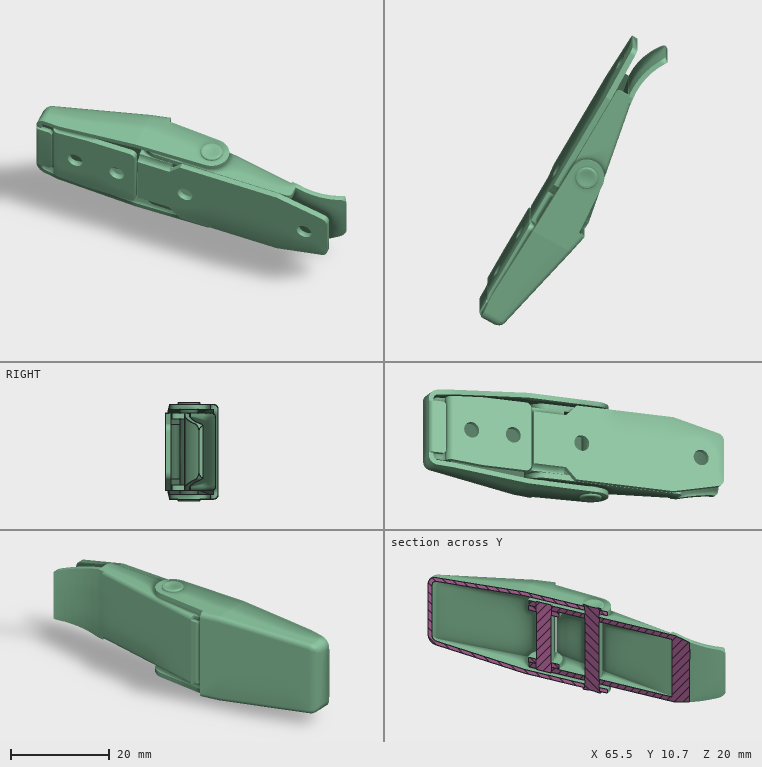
import cadquery as cq
import math


OVERALL_LENGTH = 65.49
OVERALL_HEIGHT = 10.72
OVERALL_WIDTH = 20.0

PLATE_THICKNESS = 1.2
SCREW_HOLE_DIAMETER = 3.25

BASE_START = 22.5
BASE_END = 64.0
BASE_HALF_WIDTH = 7.85
BASE_TAPER_START = 53.0
BASE_TAPER_ANGLE = 13.0
BASE_CORNER_RADIUS = 1.5
BASE_HOLES_X = (32.95, 59.0)
EAR_LENGTH = 7.0
EAR_BEND_RADIUS = PLATE_THICKNESS
EAR_OUTER_Z = 6.7
EAR_INNER_Z = EAR_OUTER_Z - PLATE_THICKNESS

LEVER_CLEARANCE = 0.1
LEVER_THICKNESS = 1.0
LEVER_HALF_WIDTH = BASE_HALF_WIDTH
LEVER_INNER_Z = EAR_OUTER_Z
LEVER_BEND_RADIUS = 0.85
LEVER_NOSE_RADIUS = EAR_LENGTH / 2
LEVER_BOTTOM = PLATE_THICKNESS + LEVER_CLEARANCE
TONGUE_START = 26.5
TONGUE_LENGTH = 1.75
TONGUE_TIP_RADIUS = 0.6
ROOF_START = TONGUE_START + TONGUE_LENGTH
ROOF_START_HEIGHT = 10.17
ROOF_SLOPE = 10.9
ROOF_END = 54.3
CHEEK_END = 55.5
CHEEK_CORNER_RADIUS = 0.9
TAIL_END_ANGLE = 37.0
TAIL_TAPER_ANGLE = 14.0
TAIL_CORNER_RADIUS = 1.6

PIVOT_X = BASE_START + EAR_LENGTH / 2
PIVOT_Y = LEVER_BOTTOM + LEVER_NOSE_RADIUS
PIVOT_PIN_LENGTH = 16.1
PIN_RADIUS = 1.83
BAIL_PIN_X = 36.8
BAIL_PIN_Y = PIVOT_Y
PIN_HEAD_RADIUS = 2.25
PIN_HEAD_EDGE_RADIUS = 0.3
PIN_DIMPLE_RADIUS = 1.65
PIN_DIMPLE_DEPTH = 0.2

BAIL_THICKNESS = 1.0
BAIL_HALF_WIDTH = 9.6
BAIL_FRONT_BEND_RADIUS = 2.0
BAIL_SIDE_BEND_RADIUS = 1.0
BAIL_FLARE_END = 21.7
BAIL_FLARE_ANGLE = 4.74
BAIL_ROOF_SLOPE = 11.5
BAIL_ROOF_END = 25.5
BAIL_SHOULDER = (25.9, 9.2)
BAIL_EYE_RADIUS = 3.6
BAIL_FRONT_BOTTOM = 1.12
BAIL_LOW_POINT = (5.0, 0.55)
LIP_BOTTOM = 0.5
LIP_LENGTH = 3.55
LIP_HALF_WIDTH = 5.45
LIP_BEND_RADIUS = 0.85
LIP_CORNER = 0.5

CATCH_END = 21.95
CATCH_HALF_WIDTH = 7.2
CATCH_TAPER_END = 11.4
CATCH_TAPER_ANGLE = 4.1
CATCH_CORNER_RADIUS = 1.2
CATCH_RISER_X = 3.75
CATCH_BEND_RADIUS = 1.25
CATCH_TONGUE_TIP = 1.2
CATCH_TONGUE_BOTTOM = 1.75
CATCH_TONGUE_CORNER = 0.8
CATCH_HOLES_X = (8.9, 18.0)

FAR = 100.0


def tan_deg(angle):
    return math.tan(math.radians(angle))


def sin_deg(angle):
    return math.sin(math.radians(angle))


def cos_deg(angle):
    return math.cos(math.radians(angle))


def extrude_across(profile, half_width):
    """Extrude a closed XY profile symmetrically in Z."""
    return profile.extrude(half_width, both=True)


def plan_prism(half_outline):
    """Upright prism over an XZ outline, mirrored from the (x, z) points of its +Z half."""
    mirrored = [(x, -z) for x, z in reversed(half_outline)]
    outline = [(x, -z) for x, z in half_outline + mirrored]
    return cq.Workplane("XZ").polyline(outline).close().extrude(-OVERALL_HEIGHT)


def cross_cylinder(x, y, radius, half_length):
    """Cylinder along Z, centred on the symmetry plane."""
    return cq.Workplane("XY").center(x, y).circle(radius).extrude(half_length, both=True)


def box_between(x_range, y_range, z_range):
    sizes = [high - low for low, high in (x_range, y_range, z_range)]
    corner = cq.Vector(x_range[0], y_range[0], z_range[0])
    return cq.Workplane(cq.Solid.makeBox(*sizes, corner))


def screw_holes(x_places):
    return (
        cq.Workplane("XZ")
        .pushPoints([(x, 0) for x in x_places])
        .circle(SCREW_HOLE_DIAMETER / 2)
        .extrude(-PLATE_THICKNESS)
    )


def make_catch():
    """Screwed plate that steps up into a tongue for the bail lip to hook under."""
    tongue_top = CATCH_TONGUE_BOTTOM + PLATE_THICKNESS
    riser_back = CATCH_RISER_X + PLATE_THICKNESS
    profile = (
        cq.Workplane("XY")
        .moveTo(CATCH_END, 0)
        .lineTo(CATCH_RISER_X + CATCH_BEND_RADIUS, 0)
        .radiusArc((CATCH_RISER_X, CATCH_BEND_RADIUS), CATCH_BEND_RADIUS)
        .lineTo(CATCH_RISER_X, CATCH_TONGUE_BOTTOM)
        .lineTo(CATCH_TONGUE_TIP, CATCH_TONGUE_BOTTOM)
        .lineTo(CATCH_TONGUE_TIP, tongue_top)
        .lineTo(riser_back - CATCH_BEND_RADIUS, tongue_top)
        .radiusArc((riser_back, tongue_top - CATCH_BEND_RADIUS), CATCH_BEND_RADIUS)
        .lineTo(riser_back, PLATE_THICKNESS)
        .lineTo(CATCH_END, PLATE_THICKNESS)
        .close()
    )
    tip_half_width = CATCH_HALF_WIDTH - (CATCH_TAPER_END - CATCH_TONGUE_TIP) * tan_deg(CATCH_TAPER_ANGLE)
    plan = plan_prism([
        (CATCH_TONGUE_TIP, tip_half_width),
        (CATCH_TAPER_END, CATCH_HALF_WIDTH),
        (CATCH_END, CATCH_HALF_WIDTH),
    ])
    plan = plan.edges("|Y and >X").fillet(CATCH_CORNER_RADIUS)
    plan = plan.edges("|Y and <X").fillet(CATCH_TONGUE_CORNER)
    return extrude_across(profile, CATCH_HALF_WIDTH).intersect(plan).cut(screw_holes(CATCH_HOLES_X))


def make_ear():
    """Ear bent up from the plate on the +Z side."""
    bend = (
        cq.Workplane("YZ", origin=(BASE_START, 0, 0))
        .moveTo(0, EAR_INNER_Z)
        .radiusArc((EAR_BEND_RADIUS, EAR_OUTER_Z), -EAR_BEND_RADIUS)
        .lineTo(EAR_BEND_RADIUS, EAR_INNER_Z)
        .close()
        .extrude(EAR_LENGTH)
    )
    wall = (
        cq.Workplane("XY", origin=(0, 0, EAR_INNER_Z))
        .moveTo(BASE_START, EAR_BEND_RADIUS)
        .lineTo(BASE_START, PIVOT_Y)
        .threePointArc((PIVOT_X, PIVOT_Y + EAR_LENGTH / 2), (BASE_START + EAR_LENGTH, PIVOT_Y))
        .lineTo(BASE_START + EAR_LENGTH, EAR_BEND_RADIUS)
        .close()
        .extrude(PLATE_THICKNESS)
    )
    return bend.union(wall)


def make_base():
    """Screwed plate with two pivot ears and a tapered rear end."""
    ear_end = BASE_START + EAR_LENGTH
    notch_depth = BASE_HALF_WIDTH - EAR_INNER_Z
    end_half_width = BASE_HALF_WIDTH - (BASE_END - BASE_TAPER_START) * tan_deg(BASE_TAPER_ANGLE)
    plan = plan_prism([
        (BASE_START, EAR_INNER_Z),
        (ear_end, EAR_INNER_Z),
        (ear_end + notch_depth, BASE_HALF_WIDTH),
        (BASE_TAPER_START, BASE_HALF_WIDTH),
        (BASE_END, end_half_width),
    ])
    plan = plan.edges("|Y and >X").fillet(BASE_CORNER_RADIUS)
    slab = box_between(
        (BASE_START, BASE_END), (0, PLATE_THICKNESS), (-BASE_HALF_WIDTH, BASE_HALF_WIDTH)
    )
    ear = make_ear()
    plate = slab.intersect(plan).union(ear).union(ear.mirror("XY"))
    plate = plate.cut(screw_holes(BASE_HOLES_X))
    return plate.cut(cross_cylinder(PIVOT_X, PIVOT_Y, PIN_RADIUS, OVERALL_WIDTH))


def lever_roof_height(x):
    return ROOF_START_HEIGHT - (x - ROOF_START) * tan_deg(ROOF_SLOPE)


def make_lever_channel():
    """Roof and cheeks, with a flat tongue at the front and round noses about the pivot."""
    roof_profile = (
        cq.Workplane("XY")
        .moveTo(TONGUE_START, LEVER_BOTTOM)
        .lineTo(TONGUE_START, ROOF_START_HEIGHT)
        .lineTo(ROOF_START, ROOF_START_HEIGHT)
        .lineTo(ROOF_END, lever_roof_height(ROOF_END))
        .lineTo(CHEEK_END, lever_roof_height(CHEEK_END) - LEVER_THICKNESS / 2)
        .lineTo(CHEEK_END, LEVER_BOTTOM)
        .close()
    )
    channel = extrude_across(roof_profile, LEVER_HALF_WIDTH)
    roof_sides = cq.selectors.BoxSelector(
        (ROOF_START, LEVER_BOTTOM + LEVER_THICKNESS, -FAR), (ROOF_END, FAR, FAR)
    )
    channel = channel.edges(roof_sides).edges("not |Z").fillet(LEVER_BEND_RADIUS)
    channel = channel.edges("|Z and >X and <Y").fillet(CHEEK_CORNER_RADIUS)
    tongue_tip = cq.selectors.NearestToPointSelector((TONGUE_START, ROOF_START_HEIGHT, 0))
    channel = channel.edges(tongue_tip).fillet(TONGUE_TIP_RADIUS)
    tongue_bottom = ROOF_START_HEIGHT - LEVER_THICKNESS
    tongue_edge_z = LEVER_HALF_WIDTH - LEVER_BEND_RADIUS
    beside_tongue = box_between(
        (TONGUE_START, ROOF_START), (tongue_bottom, OVERALL_HEIGHT), (tongue_edge_z, LEVER_HALF_WIDTH)
    )
    channel = channel.cut(beside_tongue).cut(beside_tongue.mirror("XY"))
    channel = channel.union(cross_cylinder(PIVOT_X, PIVOT_Y, LEVER_NOSE_RADIUS, LEVER_HALF_WIDTH))
    roof_drop = LEVER_THICKNESS / cos_deg(ROOF_SLOPE)
    hollow = (
        cq.Workplane("XY")
        .moveTo(BASE_START - LEVER_THICKNESS, 0)
        .lineTo(BASE_START - LEVER_THICKNESS, tongue_bottom)
        .lineTo(ROOF_START, tongue_bottom)
        .lineTo(ROOF_END, lever_roof_height(ROOF_END) - roof_drop)
        .lineTo(CHEEK_END, lever_roof_height(CHEEK_END) - roof_drop)
        .lineTo(CHEEK_END, 0)
        .close()
    )
    return channel.cut(extrude_across(hollow, LEVER_INNER_Z))


def make_lever_tail():
    """Upswept finger tab: an arc that leaves the roof tangentially."""
    start_top = (ROOF_END, lever_roof_height(ROOF_END))
    start_bottom_x = ROOF_END - LEVER_THICKNESS * sin_deg(ROOF_SLOPE)
    outer_radius = (OVERALL_LENGTH - start_bottom_x) / (sin_deg(TAIL_END_ANGLE) + sin_deg(ROOF_SLOPE))
    inner_radius = outer_radius - LEVER_THICKNESS
    center_x = start_top[0] + inner_radius * sin_deg(ROOF_SLOPE)
    center_y = start_top[1] + inner_radius * cos_deg(ROOF_SLOPE)

    def arc_point(radius, angle):
        return (center_x + radius * sin_deg(angle), center_y - radius * cos_deg(angle))

    profile = (
        cq.Workplane("XY")
        .moveTo(*start_top)
        .threePointArc(arc_point(inner_radius, 0), arc_point(inner_radius, TAIL_END_ANGLE))
        .lineTo(*arc_point(outer_radius, TAIL_END_ANGLE))
        .threePointArc(arc_point(outer_radius, 0), arc_point(outer_radius, -ROOF_SLOPE))
        .close()
    )
    end_half_width = LEVER_HALF_WIDTH - (OVERALL_LENGTH - CHEEK_END) * tan_deg(TAIL_TAPER_ANGLE)
    plan = plan_prism([
        (ROOF_END - LEVER_THICKNESS, LEVER_INNER_Z),
        (ROOF_END, LEVER_INNER_Z),
        (ROOF_END, LEVER_HALF_WIDTH),
        (CHEEK_END, LEVER_HALF_WIDTH),
        (OVERALL_LENGTH, end_half_width),
    ])
    plan = plan.edges("|Y and >X").fillet(TAIL_CORNER_RADIUS)
    return extrude_across(profile, LEVER_HALF_WIDTH).intersect(plan)


def make_lever():
    lever = make_lever_channel().union(make_lever_tail())
    lever = lever.cut(cross_cylinder(PIVOT_X, PIVOT_Y, PIN_RADIUS, OVERALL_WIDTH))
    return lever.cut(cross_cylinder(BAIL_PIN_X, BAIL_PIN_Y, PIN_RADIUS, OVERALL_WIDTH))


def bail_roof_height(x):
    return OVERALL_HEIGHT - (BAIL_ROOF_END - x) * tan_deg(BAIL_ROOF_SLOPE)


def eye_tangent_point(start, side):
    """Point where a line from start touches the eye; side is +1 above, -1 below."""
    dx = start[0] - BAIL_PIN_X
    dy = start[1] - BAIL_PIN_Y
    distance = math.hypot(dx, dy)
    direction = math.atan2(dy, dx) - side * math.acos(BAIL_EYE_RADIUS / distance)
    return (
        BAIL_PIN_X + BAIL_EYE_RADIUS * math.cos(direction),
        BAIL_PIN_Y + BAIL_EYE_RADIUS * math.sin(direction),
    )


def bail_plan(inset):
    """Plan of the bail, with front and sides moved inwards by inset."""
    front_half_width = BAIL_HALF_WIDTH - (BAIL_FLARE_END - inset) * tan_deg(BAIL_FLARE_ANGLE) - inset
    return plan_prism([
        (inset, front_half_width),
        (BAIL_FLARE_END, BAIL_HALF_WIDTH - inset),
        (BAIL_PIN_X + BAIL_EYE_RADIUS, BAIL_HALF_WIDTH - inset),
    ])


def below_bail_roof(inset):
    """Space under the sloping roof plane, lowered by inset."""
    profile = (
        cq.Workplane("XY")
        .moveTo(0, 0)
        .lineTo(FAR, 0)
        .lineTo(FAR, bail_roof_height(FAR) - inset / cos_deg(BAIL_ROOF_SLOPE))
        .lineTo(0, bail_roof_height(0) - inset / cos_deg(BAIL_ROOF_SLOPE))
        .close()
    )
    return extrude_across(profile, BAIL_HALF_WIDTH)


def bail_block(inset):
    """Bail envelope with its bends rounded; the outer one also has a rounded roof rim."""
    block = bail_plan(inset).intersect(below_bail_roof(inset))
    upright_edges = block.edges("|Y and <X")
    front_edge = block.edges("|Z").edges(
        cq.selectors.NearestToPointSelector((inset, bail_roof_height(inset), 0))
    )
    block = upright_edges.add(front_edge).fillet(BAIL_FRONT_BEND_RADIUS - inset)
    rim_radius = BAIL_SIDE_BEND_RADIUS - inset
    if rim_radius > 0:
        rim = cq.selectors.BoxSelector(
            (BAIL_FRONT_BEND_RADIUS / 2, BAIL_FRONT_BEND_RADIUS, -FAR), (FAR, FAR, FAR)
        )
        block = block.edges(rim).edges("not |Z").edges("not |Y").fillet(rim_radius)
    return block


def make_lip():
    """Hooked lip along the lower front edge, turned in under the catch tongue."""
    lip = box_between(
        (0, LIP_LENGTH), (LIP_BOTTOM, LIP_BOTTOM + BAIL_THICKNESS), (-LIP_HALF_WIDTH, LIP_HALF_WIDTH)
    )
    lip = lip.edges("|Y and >X").chamfer(LIP_CORNER)
    front_wall = box_between(
        (0, BAIL_THICKNESS),
        (LIP_BOTTOM, LIP_BOTTOM + 2 * BAIL_THICKNESS),
        (-LIP_HALF_WIDTH, LIP_HALF_WIDTH),
    )
    return lip.union(front_wall).edges("|Z and <X and <Y").fillet(LIP_BEND_RADIUS)


def make_bail():
    """Tapering channel with a closed front, a hooked lip and an eye on each cheek."""
    cheek_profile = (
        cq.Workplane("XY")
        .moveTo(0, BAIL_FRONT_BOTTOM)
        .lineTo(0, bail_roof_height(0))
        .lineTo(BAIL_ROOF_END, OVERALL_HEIGHT)
        .lineTo(*BAIL_SHOULDER)
        .lineTo(*eye_tangent_point(BAIL_SHOULDER, 1))
        .threePointArc((BAIL_PIN_X + BAIL_EYE_RADIUS, BAIL_PIN_Y), eye_tangent_point(BAIL_LOW_POINT, -1))
        .lineTo(*BAIL_LOW_POINT)
        .close()
    )
    envelope = bail_block(0).intersect(extrude_across(cheek_profile, BAIL_HALF_WIDTH))
    bail = envelope.cut(bail_block(BAIL_THICKNESS)).union(make_lip())
    return bail.cut(cross_cylinder(BAIL_PIN_X, BAIL_PIN_Y, PIN_RADIUS, OVERALL_WIDTH))


def make_pivot_pin():
    """Plain pin through the base ears and the lever noses."""
    return cross_cylinder(PIVOT_X, PIVOT_Y, PIN_RADIUS, PIVOT_PIN_LENGTH / 2)


def make_bail_pin():
    """Rivet with a rounded, dimpled head on each end."""
    pin = cross_cylinder(BAIL_PIN_X, BAIL_PIN_Y, PIN_RADIUS, BAIL_HALF_WIDTH)
    end_z = OVERALL_WIDTH / 2
    ball_radius = (PIN_DIMPLE_RADIUS**2 + PIN_DIMPLE_DEPTH**2) / (2 * PIN_DIMPLE_DEPTH)
    ball_center = cq.Vector(BAIL_PIN_X, BAIL_PIN_Y, end_z - PIN_DIMPLE_DEPTH + ball_radius)
    head = (
        cq.Workplane("XY", origin=(BAIL_PIN_X, BAIL_PIN_Y, BAIL_HALF_WIDTH))
        .circle(PIN_HEAD_RADIUS)
        .extrude(end_z - BAIL_HALF_WIDTH)
        .faces(">Z")
        .edges()
        .fillet(PIN_HEAD_EDGE_RADIUS)
        .cut(cq.Workplane("XY").sphere(ball_radius).translate(ball_center))
    )
    return pin.union(head).union(head.mirror("XY"))


result = cq.Compound.makeCompound([
    make_catch().val(),
    make_base().val(),
    make_lever().val(),
    make_bail().val(),
    make_pivot_pin().val(),
    make_bail_pin().val(),
])